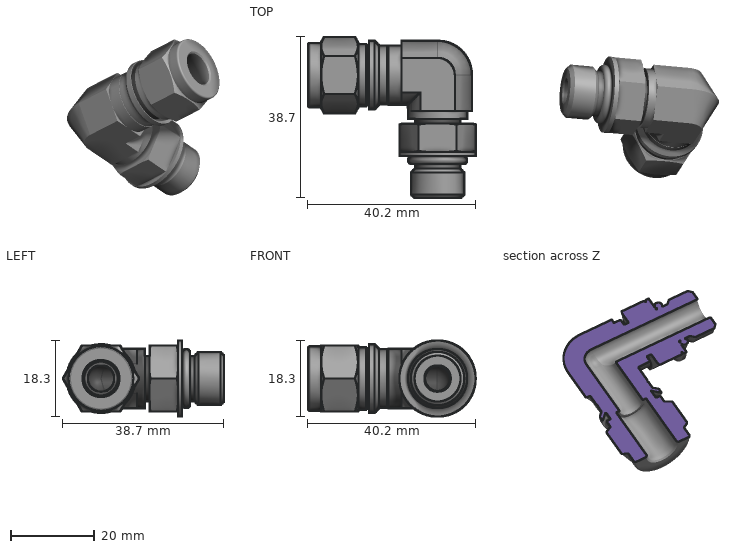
import cadquery as cq
import math

TUBE_ARM_TURN = 180.0
PORT_ARM_TURN = -90.0

nut_corner_dia = 18.3

barrel_dia = 14.3
barrel_radius = barrel_dia / 2
body_hex_radius = barrel_radius / math.cos(math.pi / 6)
body_hex_end = 8.67

groove_start = 11.75
groove_end = 12.1
groove_dia = 14.05
cone_foot_dia = 14.2
cone_start = 13.95
flange_cone_end = 15.05
flange_end = 16.45
flange_dia = 16.5
flange_recess_dia = 16.15
flange_recess_floor = 14.75
tube_neck_dia = 12.7
collar_start = 16.95
collar_dia = 15.0
collar_edge = 0.25
tube_nut_start = 19.0
tube_nut_end = 27.98
tube_nut_chamfer = 0.8
nose_end = 31.0
nose_dia = 15.5
nose_fillet = 0.45

shoulder_end = 10.5
port_neck_dia = 10.9
port_nut_start = 11.65
port_nut_end = 18.4
port_nut_face_dia = 16.85
port_nut_chamfer = 0.2
washer_end = 19.43
washer_dia = nut_corner_dia
seal_dia = 14.2
seal_section_radius = 0.95
thread_cone_start = 22.4
thread_start = 23.35
thread_dia = 12.8
thread_chamfer_start = 28.6
thread_end_dia = 11.0
port_end = 29.5

tube_bore_dia = 6.35
port_bore_dia = 6.0
port_mouth_dia = 6.35
socket_dia = 8.15
socket_mouth_dia = 8.87
socket_floor = 16.05


def turned(outline):
    """Revolve (distance, diameter) points about the X axis, closing the outline along that axis."""
    points = [(distance, diameter / 2) for distance, diameter in outline]
    points = [(points[0][0], 0)] + points + [(points[-1][0], 0)]
    return cq.Workplane("XY").polyline(points).close().revolve(360, (0, 0, 0), (1, 0, 0))


def hex_nut(start, end, face_dia, chamfer):
    """Hexagonal nut along X with its corners chamfered from face_dia at both ends."""
    prism = cq.Workplane("YZ", origin=(start, 0, 0)).polygon(6, nut_corner_dia).extrude(end - start)
    envelope = turned([
        (start, face_dia),
        (start + chamfer, nut_corner_dia),
        (end - chamfer, nut_corner_dia),
        (end, face_dia),
    ])
    return prism.intersect(envelope)


def body_arm(inner_side, barrel_end):
    """Hexagonal bar whose inner corner is cut off and replaced by a round barrel.

    inner_side is the sign of Y on the inside of the bend, before the arm is turned into place.
    """
    half_flat = body_hex_radius / 2
    flat_middle = inner_side * body_hex_radius * 3 / 4
    outline = [
        (-inner_side * body_hex_radius, 0),
        (-inner_side * half_flat, barrel_radius),
        (inner_side * half_flat, barrel_radius),
        (flat_middle, barrel_radius / 2),
        (flat_middle, -barrel_radius / 2),
        (inner_side * half_flat, -barrel_radius),
        (-inner_side * half_flat, -barrel_radius),
    ]
    bar = cq.Workplane("YZ").polyline(outline).close().extrude(body_hex_end)
    return bar.union(turned([(0, barrel_dia), (barrel_end, barrel_dia)]))


def outer_corner():
    """Quarter turn of the hexagonal bar about the vertical axis, joining both arms."""
    half_flat = body_hex_radius / 2
    outline = [
        (0, -barrel_radius),
        (half_flat, -barrel_radius),
        (body_hex_radius, 0),
        (half_flat, barrel_radius),
        (0, barrel_radius),
    ]
    return cq.Workplane("XZ").polyline(outline).close().revolve(90, (0, 0, 0), (0, 1, 0))


def tube_arm():
    """Barrel with groove, hollow-faced flange, collar, nut and rounded nose."""
    fitting = turned([
        (0, barrel_dia),
        (groove_start, barrel_dia),
        (groove_start, groove_dia),
        (groove_end, groove_dia),
        (groove_end, cone_foot_dia),
        (cone_start, cone_foot_dia),
        (flange_cone_end, flange_dia),
        (flange_end, flange_dia),
        (flange_end, flange_recess_dia),
        (flange_recess_floor, tube_neck_dia),
        (tube_nut_start, tube_neck_dia),
    ])
    collar = turned([
        (collar_start, collar_dia - 2 * collar_edge),
        (collar_start + collar_edge, collar_dia),
        (tube_nut_start, collar_dia),
    ])
    nose = turned([(tube_nut_start, nose_dia), (nose_end, nose_dia)])
    nose = nose.faces(">X").edges().fillet(nose_fillet)
    nut = hex_nut(tube_nut_start, tube_nut_end, nose_dia, tube_nut_chamfer)
    return body_arm(1, groove_start).union(fitting).union(collar).union(nut).union(nose)


def seal_ring():
    """Round-section ring resting on the washer; its seam lies on the inside, within the stem."""
    ring_radius = seal_dia / 2 - seal_section_radius
    section_plane = cq.Plane(
        origin=(washer_end + seal_section_radius, ring_radius, 0),
        xDir=(0, -1, 0),
        normal=(0, 0, 1),
    )
    section = cq.Workplane(section_plane).circle(seal_section_radius)
    return section.revolve(360, (ring_radius, 0), (ring_radius, 1))


def port_arm():
    """Barrel, necked stem with a plain thread cylinder, nut, washer and seal ring."""
    stem = turned([
        (0, port_neck_dia),
        (thread_cone_start, port_neck_dia),
        (thread_start, thread_dia),
        (thread_chamfer_start, thread_dia),
        (port_end, thread_end_dia),
    ])
    nut = hex_nut(port_nut_start, port_nut_end, port_nut_face_dia, port_nut_chamfer)
    washer = turned([(port_nut_end, washer_dia), (washer_end, washer_dia)])
    return body_arm(-1, shoulder_end).union(stem).union(nut).union(washer).union(seal_ring())


def tube_bore():
    """Stepped tube bore ending in a ball that just touches the far wall of the port bore."""
    mouth_chamfer = (socket_mouth_dia - socket_dia) / 2
    ball_offset = (tube_bore_dia - port_bore_dia) / 2
    bore = turned([
        (ball_offset, tube_bore_dia),
        (socket_floor, tube_bore_dia),
        (socket_floor, socket_dia),
        (nose_end - mouth_chamfer, socket_dia),
        (nose_end, socket_mouth_dia),
    ])
    ball = cq.Workplane("XY").sphere(tube_bore_dia / 2).translate((ball_offset, 0, 0))
    return bore.union(ball)


def port_bore():
    """Straight bore from the elbow centre with a chamfered mouth."""
    mouth_chamfer = (port_mouth_dia - port_bore_dia) / 2
    return turned([
        (0, port_bore_dia),
        (port_end - mouth_chamfer, port_bore_dia),
        (port_end, port_mouth_dia),
    ])


def turn_into_place(solid, angle):
    return solid.rotate((0, 0, 0), (0, 0, 1), angle)


result = (
    outer_corner()
    .union(turn_into_place(tube_arm(), TUBE_ARM_TURN))
    .union(turn_into_place(port_arm(), PORT_ARM_TURN))
    .cut(turn_into_place(tube_bore(), TUBE_ARM_TURN))
    .cut(turn_into_place(port_bore(), PORT_ARM_TURN))
)